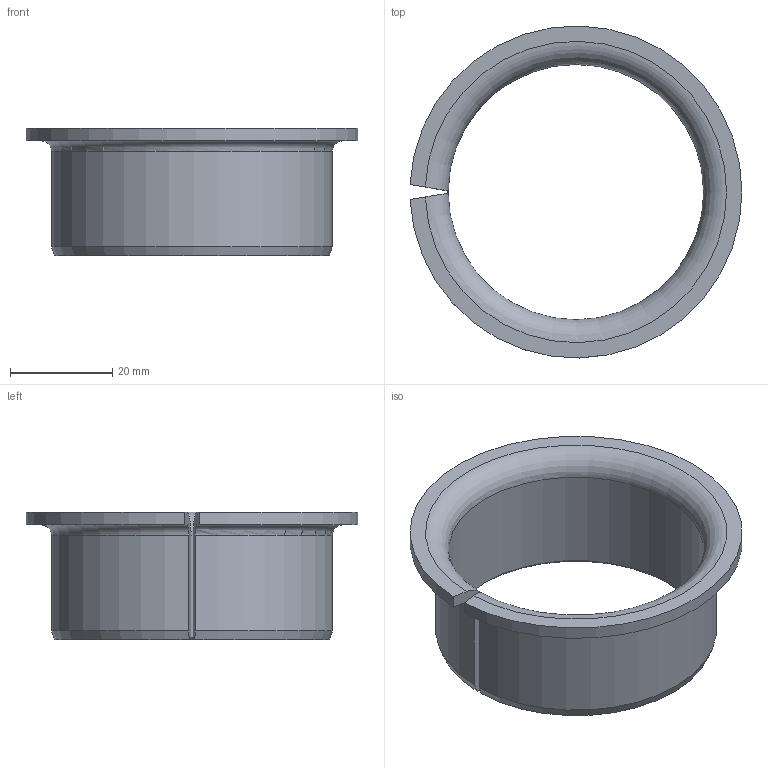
import cadquery as cq
import math

bore_radius = 25.0
wall = 2.5
flange_radius = 32.5
length = 25.0

body_radius = bore_radius + wall

inner_bend = 4.5
outer_bend = inner_bend - wall
bend_centre_radius = bore_radius + inner_bend
bend_centre_z = -inner_bend

taper_height = 1.75
taper_angle = math.radians(20)
taper_depth = taper_height * math.tan(taper_angle)

bore_chamfer = 0.5

web_thickness = 0.05
slot_inner_width = 0.5
slot_outer_width = 2.9


def bend_midpoint(radius):
    """Point halfway round a quarter bend, facing the bore and the top."""
    offset = radius * math.sqrt(0.5)
    return bend_centre_radius - offset, bend_centre_z + offset


def flanged_sleeve():
    """Sleeve curving outward into the flange, revolved about Z."""
    profile = (
        cq.Workplane("XZ")
        .moveTo(bore_radius, bore_chamfer - length)
        .lineTo(bore_radius + bore_chamfer, -length)
        .lineTo(body_radius - taper_depth, -length)
        .lineTo(body_radius, taper_height - length)
        .lineTo(body_radius, bend_centre_z)
        .threePointArc(bend_midpoint(outer_bend), (bend_centre_radius, -wall))
        .lineTo(flange_radius, -wall)
        .lineTo(flange_radius, 0)
        .lineTo(bend_centre_radius, 0)
        .threePointArc(bend_midpoint(inner_bend), (bore_radius, bend_centre_z))
        .close()
    )
    sleeve = profile.revolve(360, (0, 0, 0), (0, 1, 0))
    return sleeve.rotate((0, 0, 0), (0, 0, 1), 180)


def slot_wedge():
    """Full-height wedge cut from the flange rim inward to the web."""
    floor_radius = bore_radius + web_thickness
    inner_half = slot_inner_width / 2
    outer_half = slot_outer_width / 2
    return (
        cq.Workplane("XY")
        .workplane(offset=-length)
        .polyline([
            (-floor_radius, -inner_half),
            (-flange_radius, -outer_half),
            (-flange_radius, outer_half),
            (-floor_radius, inner_half),
        ])
        .close()
        .extrude(length)
    )


result = flanged_sleeve().cut(slot_wedge())